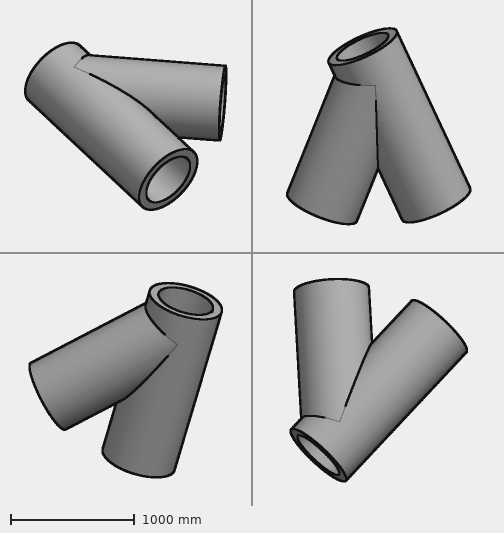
import cadquery as cq

run_length = 1460.0
outer_diameter = 609.0
bore_diameter = 459.0
branch_angle = 45.0
branch_start = 255.0
branch_length = 1206.0


def run_cylinder(diameter):
    """Cylinder along the full run, with the axis crossing at the origin."""
    return cq.Workplane("YZ", origin=(-branch_start, 0, 0)).circle(diameter / 2).extrude(run_length)


def branch_cylinder(diameter):
    """Cylinder from the axis crossing to the open end of the branch."""
    straight = cq.Workplane("YZ").circle(diameter / 2).extrude(branch_length)
    return straight.rotate((0, 0, 0), (0, 0, 1), branch_angle)


body = run_cylinder(outer_diameter).union(branch_cylinder(outer_diameter))
result = body.cut(run_cylinder(bore_diameter)).cut(branch_cylinder(bore_diameter))